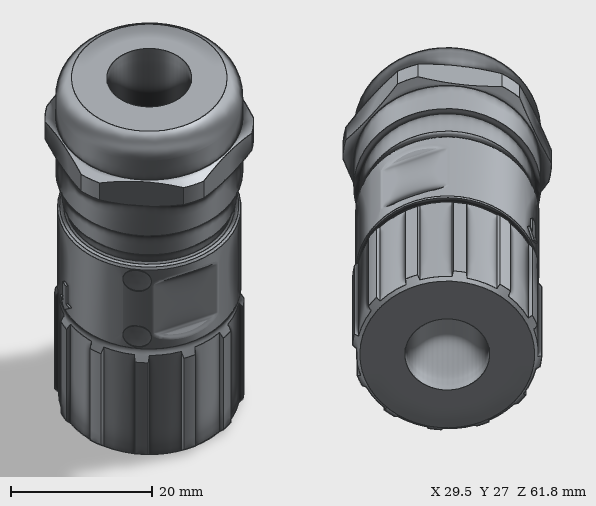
import cadquery as cq
import math

total_height = 61.8
bore_radius = 6.0

sleeve_radius = 12.85
rib_radius = 13.4
sleeve_foot_radius = 12.35
sleeve_cone_bottom_z = 18.9
sleeve_neck_radius = 12.1
sleeve_top_z = 21.0
rib_count = 12
rib_half_width_outer = 0.9
rib_half_width_root = 1.05

body_radius = 13.0
body_top_z = 36.9
body_top_chamfer = 0.3
body_bottom_chamfer = 0.2

collar_radius = 12.1
collar_height = 0.25
groove_radius = 11.8
groove_top_z = 38.4
neck_radius = 12.35

cap_radius = 13.2
cap_bottom_z = 43.5
cap_shoulder_z = 58.1
cap_face_radius = 11.0
hex_bottom_z = 49.4
hex_top_z = 54.4
hex_across_flats = 27.0
hex_corner_radius = 14.75
hex_face_radius = 13.3
hex_chamfer_angle = 30.0

pocket_floor_x = 11.9
pocket_floor_bottom_z = 23.85
pocket_floor_top_z = 33.8
pocket_floor_fillet = 0.9
pocket_rim_fillet = 1.0

dimple_radius = 2.05
dimple_depth = 0.2
dimple_angle = 57.0
dimple_heights = (23.5, 34.35)

arrow_radius = 13.3
arrow_top_z = 26.95
arrow_head_z = 23.5
arrow_tip_z = 21.9
arrow_shaft_half_width = 0.55
arrow_head_half_width = 1.55


def revolved(points):
    """Turn an (r, z) outline about the Z axis."""
    return cq.Workplane("XZ").polyline(points).close().revolve(360, (0, 0), (0, 1))


def make_sleeve():
    """Cone-ended cylinder with tapered ribs; both share the same end cones."""
    foot_chamfer = rib_radius - sleeve_foot_radius
    envelope = revolved([
        (0, 0),
        (sleeve_foot_radius, 0),
        (rib_radius, foot_chamfer),
        (rib_radius, sleeve_cone_bottom_z),
        (sleeve_neck_radius, sleeve_top_z),
        (0, sleeve_top_z),
    ])
    core = cq.Workplane("XY").circle(sleeve_radius).extrude(sleeve_top_z)
    section_depth = 2 * (rib_radius - sleeve_radius)
    taper = (rib_half_width_root - rib_half_width_outer) / (rib_radius - sleeve_radius)
    inner_half_width = rib_half_width_outer + taper * section_depth
    rib = (
        cq.Workplane("XY")
        .moveTo(rib_radius - section_depth, -inner_half_width)
        .lineTo(rib_radius, -rib_half_width_outer)
        .lineTo(rib_radius + section_depth, -rib_half_width_outer)
        .lineTo(rib_radius + section_depth, rib_half_width_outer)
        .lineTo(rib_radius, rib_half_width_outer)
        .lineTo(rib_radius - section_depth, inner_half_width)
        .close()
        .extrude(sleeve_top_z)
    )
    for index in range(rib_count):
        core = core.union(rib.rotate((0, 0, 0), (0, 0, 1), index * 360 / rib_count))
    return core.intersect(envelope)


def make_pocket(side):
    """Cutter with a flat floor and 45 degree end ramps; side is -1 or 1 along X."""
    floor_edges = "<X" if side > 0 else ">X"
    reach = 2 * (body_radius - pocket_floor_x)
    return (
        cq.Workplane("XZ")
        .moveTo(side * pocket_floor_x, pocket_floor_bottom_z)
        .lineTo(side * (pocket_floor_x + reach), pocket_floor_bottom_z - reach)
        .lineTo(side * (pocket_floor_x + reach), pocket_floor_top_z + reach)
        .lineTo(side * pocket_floor_x, pocket_floor_top_z)
        .close()
        .extrude(body_radius, both=True)
        .edges("|Y").edges(floor_edges)
        .fillet(pocket_floor_fillet)
    )


def pocket_rim(body, side):
    """Edges where the pocket breaks out through the cylindrical wall."""
    tolerance = 0.005
    middle_z = (pocket_floor_bottom_z + pocket_floor_top_z) / 2
    half_height = (pocket_floor_top_z - pocket_floor_bottom_z) / 2 + body_radius - pocket_floor_x

    def on_rim(edge):
        points = [edge.positionAt(fraction) for fraction in (0, 0.5, 1)]
        return all(
            side * point.x > pocket_floor_x - tolerance
            and abs(math.hypot(point.x, point.y) - body_radius) < tolerance
            and abs(point.z - middle_z) < half_height + tolerance
            for point in points
        )

    return [edge for edge in body.edges().vals() if on_rim(edge)]


def make_body():
    """Chamfered cylinder, its seam turned away from the pockets, with two rounded pockets."""
    body = revolved([
        (0, sleeve_top_z),
        (body_radius - body_bottom_chamfer, sleeve_top_z),
        (body_radius, sleeve_top_z + body_bottom_chamfer),
        (body_radius, body_top_z - body_top_chamfer),
        (body_radius - body_top_chamfer, body_top_z),
        (0, body_top_z),
    ]).rotate((0, 0, 0), (0, 0, 1), 90)
    for side in (-1, 1):
        body = body.cut(make_pocket(side))
    for side in (-1, 1):
        body = body.newObject(pocket_rim(body, side)).fillet(pocket_rim_fillet)
    return body


def make_dimple(height):
    """Round cutter on the +X axis with a spherical end, turned to its place on the body wall."""
    ball_radius = (dimple_radius**2 + dimple_depth**2) / (2 * dimple_depth)
    rim_distance = math.sqrt(body_radius**2 - dimple_radius**2)
    ball_distance = rim_distance - dimple_depth + ball_radius
    ball = cq.Workplane("XY").sphere(ball_radius).translate((ball_distance, 0, 0))
    plug = cq.Workplane("YZ").circle(dimple_radius).extrude(ball_distance)
    cutter = ball.intersect(plug)
    return cutter.rotate((0, 0, 0), (0, 0, 1), dimple_angle - 90).translate((0, 0, height))


def make_arrow():
    """Arrow pointing down, standing proud of the body with a matching curved face."""
    half_outline = [
        (arrow_shaft_half_width, arrow_top_z),
        (arrow_shaft_half_width, arrow_head_z),
        (arrow_head_half_width, arrow_head_z),
    ]
    mirrored = [(-x, z) for x, z in reversed(half_outline)]
    plate = (
        cq.Workplane("XZ", origin=(0, -groove_radius, 0))
        .polyline(half_outline + [(0, arrow_tip_z)] + mirrored)
        .close()
        .extrude(2 * (arrow_radius - groove_radius))
    )
    return plate.intersect(cq.Workplane("XY").circle(arrow_radius).extrude(body_top_z))


def make_neck():
    """Low conical collar, narrow groove and plain neck between the body and the cap."""
    return revolved([
        (0, body_top_z),
        (collar_radius, body_top_z),
        (groove_radius, body_top_z + collar_height),
        (groove_radius, groove_top_z),
        (neck_radius, groove_top_z + neck_radius - groove_radius),
        (neck_radius, cap_bottom_z),
        (0, cap_bottom_z),
    ])


def make_cap():
    """Cylinder with a rounded shoulder that meets the wall tangentially."""
    inset = cap_radius - cap_face_radius
    rise = total_height - cap_shoulder_z
    shoulder_radius = (inset**2 + rise**2) / (2 * inset)
    return (
        cq.Workplane("XZ")
        .moveTo(0, cap_bottom_z)
        .lineTo(cap_radius, cap_bottom_z)
        .lineTo(cap_radius, cap_shoulder_z)
        .radiusArc((cap_face_radius, total_height), -shoulder_radius)
        .lineTo(0, total_height)
        .close()
        .revolve(360, (0, 0), (0, 1))
    )


def make_hexagon():
    """Hexagon with corners on X, turned round at the corners and chamfered at both ends."""
    height = hex_top_z - hex_bottom_z
    corner_diameter = hex_across_flats / math.cos(math.radians(30))
    chamfer = (hex_corner_radius - hex_face_radius) * math.tan(math.radians(hex_chamfer_angle))
    prism = cq.Workplane("XY", origin=(0, 0, hex_bottom_z)).polygon(6, corner_diameter).extrude(height)
    envelope = revolved([
        (0, hex_bottom_z),
        (hex_face_radius, hex_bottom_z),
        (hex_corner_radius, hex_bottom_z + chamfer),
        (hex_corner_radius, hex_top_z - chamfer),
        (hex_face_radius, hex_top_z),
        (0, hex_top_z),
    ])
    return prism.intersect(envelope)


result = make_sleeve().union(make_body()).union(make_neck()).union(make_cap()).union(make_hexagon())
for dimple_height in dimple_heights:
    result = result.cut(make_dimple(dimple_height))
result = result.union(make_arrow())
result = result.cut(cq.Workplane("XY").circle(bore_radius).extrude(total_height))